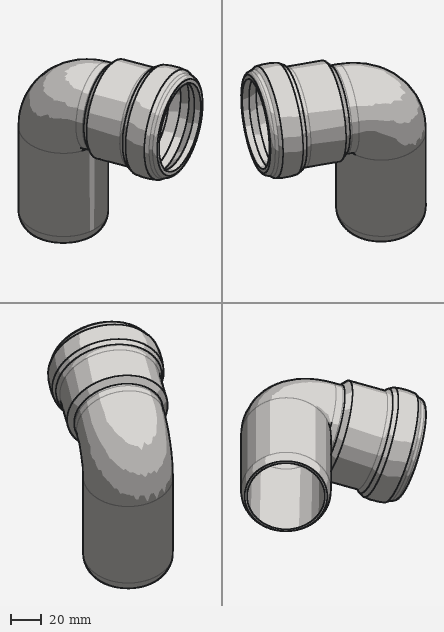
import cadquery as cq
import math

pipe_radius = 58.3 / 2
bore_radius = 50.2 / 2
spigot_height = 74.0
spigot_lead_height = 7.2
spigot_tip_radius = 26.7
lead_inset = 0.5
bend_radius = 24.9
bend_angle = 87.5

neck_radius = 58.8 / 2
socket_radius = 66.5 / 2
socket_bore_radius = 59.0 / 2
ring_radius = 37.4
ring_shoulder_radius = 36.8
groove_radius = 68.0 / 2
wall = socket_radius - socket_bore_radius

neck_start = 4.8
neck_end = 6.1
socket_start = 10.0
socket_end = 33.9
ring_start = 40.1
ring_end = 53.7
step_start = 56.2
step_end = 58.4
socket_length = 60.8
step_start_radius = 35.2
step_end_radius = 34.5
rim_radius = 32.2

ring_middle = (ring_start + ring_end) / 2
flare_middle = (socket_end + ring_start) / 2
flare_middle_radius = (socket_radius + ring_shoulder_radius) / 2


def spun(profile):
    """Turn a (radius, height) profile about its own vertical axis."""
    return profile.close().revolve(360, (0, 0, 0), (0, 1, 0))


def place_at_bend_end(body):
    """Move a body standing on the origin to the outlet of the bend."""
    pivot = (bend_radius, 0, spigot_height)
    pivot_end = (bend_radius, 1, spigot_height)
    return body.translate((0, 0, spigot_height)).rotate(pivot, pivot_end, bend_angle)


def bend(radius):
    """Sweep a round section about the bend axis, cutting off any part beyond that axis."""
    half_chord = math.sqrt(radius**2 - bend_radius**2)
    return (
        cq.Workplane("XY", origin=(0, 0, spigot_height))
        .moveTo(bend_radius, half_chord)
        .threePointArc((-radius, 0), (bend_radius, -half_chord))
        .close()
        .revolve(bend_angle, (bend_radius, 0, 0), (bend_radius, 1, 0))
    )


def spigot_body():
    lead_middle = (pipe_radius - lead_inset, spigot_lead_height / 2)
    return spun(
        cq.Workplane("XZ")
        .lineTo(spigot_tip_radius, 0)
        .threePointArc(lead_middle, (pipe_radius, spigot_lead_height))
        .lineTo(pipe_radius, spigot_height)
        .lineTo(0, spigot_height)
    )


def socket_body():
    return spun(
        cq.Workplane("XZ")
        .lineTo(pipe_radius, 0)
        .lineTo(pipe_radius, neck_start)
        .lineTo(neck_radius, neck_end)
        .lineTo(socket_radius, socket_start)
        .lineTo(socket_radius, socket_end)
        .tangentArcPoint((flare_middle_radius, flare_middle), relative=False)
        .lineTo(ring_shoulder_radius, ring_start)
        .threePointArc((ring_radius, ring_middle), (ring_shoulder_radius, ring_end))
        .lineTo(step_start_radius, step_start)
        .lineTo(step_end_radius, step_end)
        .tangentArcPoint((rim_radius, socket_length), relative=False)
        .lineTo(0, socket_length)
    )


def socket_cavity():
    return spun(
        cq.Workplane("XZ")
        .lineTo(bore_radius, 0)
        .lineTo(bore_radius, neck_end)
        .lineTo(socket_bore_radius, socket_start + wall)
        .lineTo(socket_bore_radius, socket_end + wall)
        .lineTo(groove_radius, ring_start + wall)
        .lineTo(groove_radius, ring_end - wall)
        .lineTo(socket_bore_radius, step_start)
        .lineTo(socket_bore_radius, socket_length)
        .lineTo(0, socket_length)
    )


outside = spigot_body().union(bend(pipe_radius)).union(place_at_bend_end(socket_body()))
spigot_bore = cq.Workplane("XY").circle(bore_radius).extrude(spigot_height)
inside = spigot_bore.union(bend(bore_radius)).union(place_at_bend_end(socket_cavity()))

result = outside.cut(inside)